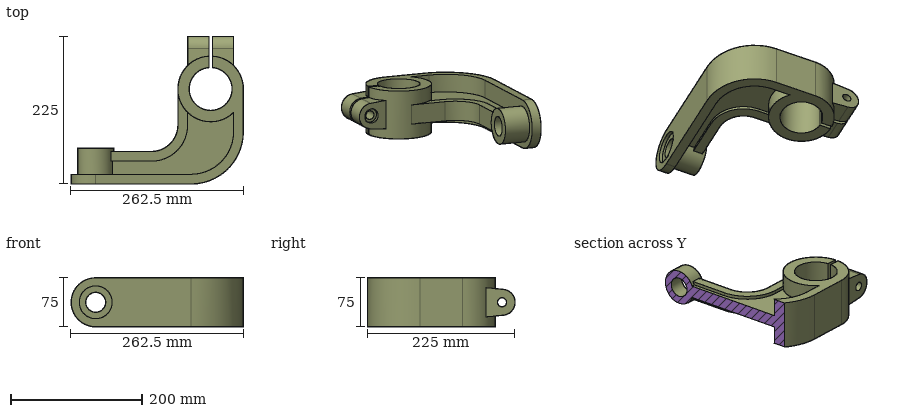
import cadquery as cq
import math


height = 75.0
ring_radius = 50.0
bore_radius = 32.5
slit_width = 5.0

wall = 15.0
rib_height = 30.0
web_height = 20.0
plate_front_y = -145.0
outer_bend_radius = 80.0
inner_bend_radius = 40.0
arm_width = 50.0

boss_x = -175.0
boss_radius = 27.5
boss_length = 55.0
pin_radius = 15.0
pin_recess_radius = 25.0
pin_recess_depth = 5.0

lug_width = 70.0
lug_y = 60.0
lug_radius = 20.0
lug_taper = math.radians(5.0)
bolt_radius = 6.75
bolt_recess_radius = 11.0
bolt_recess_depth = 6.5

inner_back_y = plate_front_y + arm_width


def centred_prism(sketch, thickness):
    """Extrude an XY outline to a thickness centred on the XY plane."""
    return sketch.extrude(thickness).translate((0, 0, -thickness / 2))


def bend_middle(centre_x, centre_y, radius):
    """Midpoint of a quarter bend that turns from facing -Y to facing +X."""
    offset = radius * math.sqrt(0.5)
    return (centre_x + offset, centre_y - offset)


def cylinder_y(radius, start_y, length):
    """Cylinder on the pivot axis, running from start_y towards +Y."""
    base = cq.Workplane("XZ", origin=(boss_x, start_y, 0))
    return base.circle(radius).extrude(-length)


def cylinder_x(radius, start_x, length):
    """Cylinder on the bolt axis, running from start_x towards +X."""
    base = cq.Workplane("YZ", origin=(start_x, lug_y, 0))
    return base.circle(radius).extrude(length)


def bent_band(side_x, front_y, bend_radius, thickness):
    """Outline of an L-shaped band of even thickness with concentric bends.

    side_x and front_y are its outer faces, bend_radius its outer bend.
    """
    centre_x = side_x - bend_radius
    centre_y = front_y + bend_radius
    small_radius = bend_radius - thickness
    outer_mid = bend_middle(centre_x, centre_y, bend_radius)
    inner_mid = bend_middle(centre_x, centre_y, small_radius)
    return (
        cq.Workplane("XY")
        .moveTo(boss_x, front_y)
        .lineTo(centre_x, front_y)
        .threePointArc(outer_mid, (side_x, centre_y))
        .lineTo(side_x, 0)
        .lineTo(side_x - thickness, 0)
        .lineTo(side_x - thickness, centre_y)
        .threePointArc(inner_mid, (centre_x, front_y + thickness))
        .lineTo(boss_x, front_y + thickness)
        .close()
    )


def web_outline():
    """Outline of the whole arm between its outermost and innermost faces."""
    outer_x = ring_radius - outer_bend_radius
    outer_y = plate_front_y + outer_bend_radius
    inner_x = -ring_radius - inner_bend_radius
    inner_y = inner_back_y + inner_bend_radius
    outer_mid = bend_middle(outer_x, outer_y, outer_bend_radius)
    inner_mid = bend_middle(inner_x, inner_y, inner_bend_radius)
    return (
        cq.Workplane("XY")
        .moveTo(boss_x, plate_front_y)
        .lineTo(outer_x, plate_front_y)
        .threePointArc(outer_mid, (ring_radius, outer_y))
        .lineTo(ring_radius, 0)
        .lineTo(-ring_radius, 0)
        .lineTo(-ring_radius, inner_y)
        .threePointArc(inner_mid, (inner_x, inner_back_y))
        .lineTo(boss_x, inner_back_y)
        .close()
    )


def make_arm():
    outer_wall = centred_prism(bent_band(ring_radius, plate_front_y, outer_bend_radius, wall), height)
    inner_rib = centred_prism(
        bent_band(wall - ring_radius, inner_back_y - wall, inner_bend_radius + wall, wall),
        rib_height,
    )
    web = centred_prism(web_outline(), web_height)
    rounded_end = cylinder_y(height / 2, plate_front_y, wall)
    boss = cylinder_y(boss_radius, plate_front_y, boss_length)
    return outer_wall.union(inner_rib).union(web).union(rounded_end).union(boss)


def make_lugs():
    """Block with a rounded end and flanks that widen tangentially towards the ring."""
    tangent_y = lug_y + lug_radius * math.sin(lug_taper)
    tangent_z = lug_radius * math.cos(lug_taper)
    root_z = tangent_z + tangent_y * math.tan(lug_taper)
    return (
        cq.Workplane("YZ")
        .moveTo(0, -root_z)
        .lineTo(tangent_y, -tangent_z)
        .threePointArc((lug_y + lug_radius, 0), (tangent_y, tangent_z))
        .lineTo(0, root_z)
        .close()
        .extrude(lug_width / 2, both=True)
    )


def cut_ring(body):
    bore = centred_prism(cq.Workplane("XY").circle(bore_radius), height)
    slit_length = lug_y + lug_radius
    slit = cq.Workplane("XY").box(slit_width, slit_length, height, centered=(True, False, True))
    return body.cut(bore).cut(slit)


def cut_pivot(body):
    pin_hole = cylinder_y(pin_radius, plate_front_y, boss_length)
    recess = cylinder_y(pin_recess_radius, plate_front_y, pin_recess_depth)
    return body.cut(pin_hole).cut(recess)


def cut_bolt(body):
    bolt_hole = cylinder_x(bolt_radius, -lug_width / 2, lug_width)
    recess = cylinder_x(bolt_recess_radius, -lug_width / 2, bolt_recess_depth)
    return body.cut(bolt_hole).cut(recess)


ring = centred_prism(cq.Workplane("XY").circle(ring_radius), height)
body = ring.union(make_arm()).union(make_lugs()).clean()
result = cut_bolt(cut_pivot(cut_ring(body)))